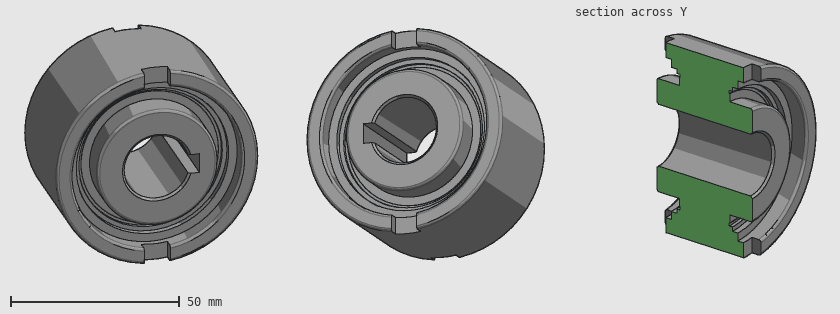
import cadquery as cq

length = 36.0
outer_radius = 31.0
rim_inner_radius = 26.0
hub_radius = 18.5
edge_round = 0.8

shoulder_radius = 23.4
groove_outer_radius = 22.0
groove_inner_radius = 21.1
recess_rings = [
    (rim_inner_radius, shoulder_radius, 5.5),
    (shoulder_radius, groove_outer_radius, 7.5),
    (groove_outer_radius, groove_inner_radius, 8.7),
    (groove_inner_radius, hub_radius, 8.5),
]

bore_radius = 10.0
bore_chamfer = 0.7
key_width = 6.0
key_reach = 12.9

slot_width = 8.0
slot_depth = 3.4

half_length = length / 2


def axial_cylinder(radius, start_x, end_x):
    """Solid cylinder along X between two X positions."""
    return cq.Workplane("YZ", origin=(start_x, 0, 0)).circle(radius).extrude(end_x - start_x)


def axial_ring(radius, inner_radius, start_x, end_x):
    """Tube along X between two X positions."""
    ring = cq.Workplane("YZ", origin=(start_x, 0, 0)).circle(radius).circle(inner_radius)
    return ring.extrude(end_x - start_x)


def cut_stepped_recesses(body):
    """Cut the stepped annular recess into both ends, leaving the hub standing."""
    for radius, inner_radius, depth in recess_rings:
        floor_x = half_length - depth
        body = body.cut(axial_ring(radius, inner_radius, floor_x, half_length))
        body = body.cut(axial_ring(radius, inner_radius, -half_length, -floor_x))
    return body


def round_end_edges(body):
    """Round the rim and hub edges on both end faces."""
    return body.faces("<X or >X").edges().fillet(edge_round)


def cut_bore(body):
    """Cut the through bore and chamfer both of its mouths."""
    body = body.cut(axial_cylinder(bore_radius, -half_length, half_length))
    smallest_radius = cq.selectors.RadiusNthSelector(0)
    return body.faces("<X or >X").edges(smallest_radius).chamfer(bore_chamfer)


def cut_keyway(body):
    """Cut the keyway through the full length on the +Y side of the bore."""
    key = cq.Workplane("XY").box(length, key_reach, key_width, centered=(True, False, True))
    return body.cut(key)


def cut_rim_slots(body):
    """Cut the slots through the rim wall at top and bottom of each end."""
    for side in (-1, 1):
        slot_x = side * (half_length - slot_depth / 2)
        bar = cq.Workplane("XY").box(slot_depth, slot_width, 2 * outer_radius)
        bar = bar.translate((slot_x, 0, 0))
        body = body.cut(bar.cut(axial_cylinder(hub_radius, -half_length, half_length)))
    return body


body = axial_cylinder(outer_radius, -half_length, half_length)
body = cut_stepped_recesses(body)
body = round_end_edges(body)
body = cut_bore(body)
body = cut_keyway(body)
result = cut_rim_slots(body)